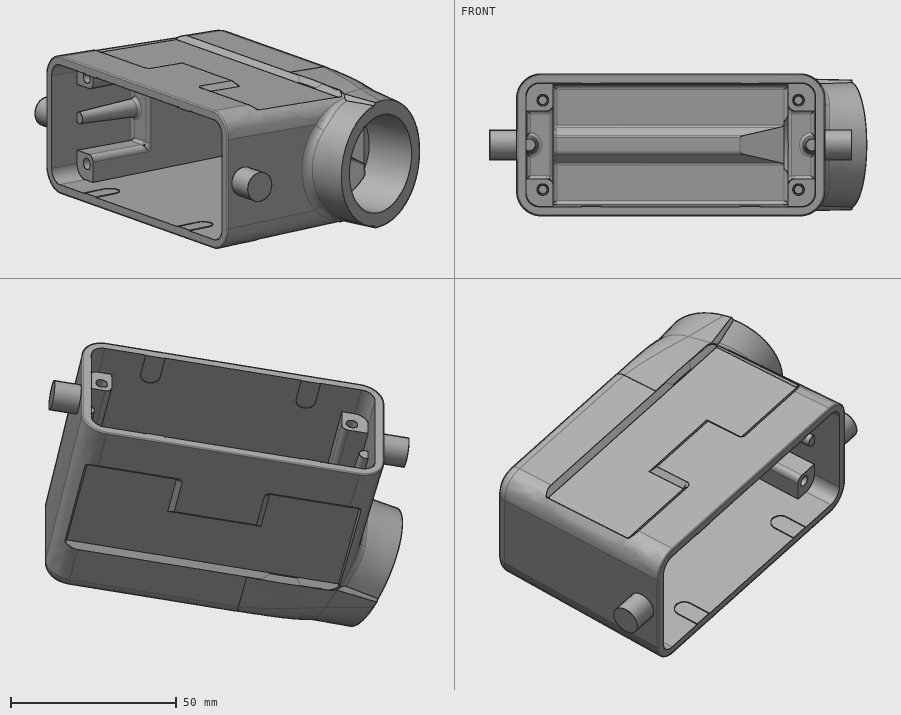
import cadquery as cq
import math

RIM_LENGTH = 93.2
RIM_WIDTH = 42.98
BODY_DEPTH = 62.9
SIDE_DRAFT = 1.1
CORNER_RADIUS = 7.5
END_FILLET = 3.8
RIM_FILLET = 0.4

PIN_DIAMETER = 9.0
PIN_SPAN = 109.4
PIN_Y = 6.15
PIN_ROOT_X = 44.5

RELIEF_LEVEL = 19.55
RELIEF_END_X = 42.0
RELIEF_BOTTOM_Y = 14.9
RELIEF_TOP_Y = 45.3
TAB_HALF_WIDTH = 14.4
TAB_TOP_Y = 27.9
RELIEF_WALL_ANGLE = 45.0
RELIEF_HEIGHT = 3.0

OUTLET_TILT = 15.8
OUTLET_RADIUS = 19.1
OUTLET_TIP_X = 59.3
OUTLET_TOP_Y = 70.09
ROOT_RADIUS = 18.2
NOZZLE_LENGTH = 22.0
BORE_RADIUS = 15.2
NECK_FILLET = 2.5
NECK_CORNER_X = 46.0
NECK_CORNER_Y = 30.0
NECK_CORNER_REACH = 6.0

SHOULDER_START_X = 7.0
SHOULDER_RISE_X = 14.0
SHOULDER_MIDDLE_X = 33.0
SHOULDER_MIDDLE_TOP_Y = 65.3
SHOULDER_MIDDLE_RADIUS = 9.5
SHOULDER_MIDDLE_HALF_WIDTH = 20.3
SHOULDER_EDGE_Y = 47.1
SHOULDER_CHAMFER = 1.6
SHOULDER_NECK_DISTANCE = 13.0
SHOULDER_NECK_HALF_WIDTH = 19.9
SHOULDER_NECK_EDGE = -1.1
SHOULDER_NECK_TOP = 18.6
SHOULDER_NECK_RADIUS = 12.1
SHOULDER_END_HALF_WIDTH = 19.6
SHOULDER_END_EDGE = -2.4

MOUTH_LENGTH = 87.6
MOUTH_WIDTH = 37.5
MOUTH_RADIUS = 4.2
INNER_DRAFT = 0.8
SHELF_Y = 30.0
CHAMBER_HALF_LENGTH = 35.5
CEILING_Y = 60.0
CEILING_FILLET = 1.2
SHELF_FILLET = 1.0

POST_TOP_Y = 9.4
POST_INNER_Z = 10.3
POST_RADIUS = 2.0
SCREW_X = 38.65
SCREW_Z = 13.5
SCREW_MOUTH_RADIUS = 1.75
SCREW_BOTTOM_RADIUS = 1.3
SCREW_DEPTH = 14.0

GUIDE_X = 42.7
GUIDE_TIP_RADIUS = 1.8
GUIDE_ROOT_RADIUS = 2.8

RIDGE_ROOT_WIDTH = 11.2
RIDGE_CREST_WIDTH = 5.2
RIDGE_HEIGHT = 3.0
RIDGE_FILLET = 1.0
RIDGE_RAMP_X = 21.0
RIDGE_END_X = 34.2

PAD_X = 24.0
PAD_WIDTH = 6.0
PAD_END_Y = 10.2
PAD_RISE = 0.2

TILT = math.radians(OUTLET_TILT)
OUTLET_X = OUTLET_TIP_X - OUTLET_RADIUS * math.sin(TILT)
OUTLET_Y = OUTLET_TOP_Y - OUTLET_RADIUS * math.cos(TILT)
SIDES = (-1, 1)
SELECT_MARGIN = 0.1


def depth_plane(y):
    """Plane across the hood at depth y; its normal points into the hood."""
    return cq.Plane(origin=(0, y, 0), xDir=(1, 0, 0), normal=(0, 1, 0))


def outlet_plane(distance):
    """Plane across the outlet axis, at a distance behind the outlet face."""
    origin = (OUTLET_X - distance * math.cos(TILT), OUTLET_Y - distance * math.sin(TILT), 0)
    return cq.Plane(origin=origin, xDir=(0, 0, -1), normal=(math.cos(TILT), math.sin(TILT), 0))


def rounded_rectangle(length, width, radius):
    return cq.Sketch().rect(length, width).vertices().fillet(radius)


def drafted_block(length, width, radius, start_y, end_y, draft):
    """Rounded block whose sides each lean in by the draft from start_y to end_y."""
    depth = end_y - start_y
    wide = rounded_rectangle(length, width, radius)
    narrow = rounded_rectangle(length - 2 * draft, width - 2 * draft, radius)
    far_end = narrow.moved(cq.Location((0, 0, depth)))
    return cq.Workplane(depth_plane(start_y)).placeSketch(wide, far_end).loft()


def body():
    block = drafted_block(RIM_LENGTH, RIM_WIDTH, CORNER_RADIUS, 0, BODY_DEPTH, SIDE_DRAFT)
    return block.faces(">Y").edges().fillet(END_FILLET).faces("<Y").edges().fillet(RIM_FILLET)


def side_relief():
    """Cutter for the +Z relief around the central tab; its floor follows the wall draft."""
    outline = [
        (-RELIEF_END_X, RELIEF_BOTTOM_Y),
        (-TAB_HALF_WIDTH, RELIEF_BOTTOM_Y),
        (-TAB_HALF_WIDTH, TAB_TOP_Y),
        (TAB_HALF_WIDTH, TAB_TOP_Y),
        (TAB_HALF_WIDTH, RELIEF_BOTTOM_Y),
        (RELIEF_END_X, RELIEF_BOTTOM_Y),
        (RELIEF_END_X, RELIEF_TOP_Y),
        (-RELIEF_END_X, RELIEF_TOP_Y),
    ]
    draft_angle = math.degrees(math.atan2(SIDE_DRAFT, BODY_DEPTH))
    floor = cq.Workplane("XY").workplane(offset=RELIEF_LEVEL).polyline(outline).close()
    cutter = floor.extrude(RELIEF_HEIGHT, taper=-RELIEF_WALL_ANGLE)
    hinge = (0, RELIEF_BOTTOM_Y, RELIEF_LEVEL)
    return cutter.rotate(hinge, (1, RELIEF_BOTTOM_Y, RELIEF_LEVEL), -draft_angle)


def shoulder_section(plane, edge_half_width, half_width, edge, top, radius):
    """Arched section: chamfered lower edges, near-upright sides and rounded upper corners."""
    foot = edge_half_width - SHOULDER_CHAMFER
    low = edge - SHOULDER_CHAMFER
    flat = half_width - radius
    bend = radius * math.sqrt(0.5)
    section = (
        cq.Workplane(plane)
        .moveTo(-foot, low)
        .lineTo(foot, low)
        .lineTo(edge_half_width, edge)
        .lineTo(half_width, top - radius)
        .threePointArc((flat + bend, top - radius + bend), (flat, top))
        .lineTo(-flat, top)
        .threePointArc((-flat - bend, top - radius + bend), (-half_width, top - radius))
        .lineTo(-edge_half_width, edge)
        .close()
    )
    return section.val()


def half_width_at(y):
    return RIM_WIDTH / 2 - SIDE_DRAFT * y / BODY_DEPTH


def shoulder_station(x, half_width, top, radius):
    """Shoulder section square to the X axis."""
    plane = cq.Plane(origin=(x, 0, 0), xDir=(0, 0, -1), normal=(1, 0, 0))
    edge_half_width = half_width_at(SHOULDER_EDGE_Y)
    return shoulder_section(plane, edge_half_width, half_width, SHOULDER_EDGE_Y, top, radius)


def shoulder_clearance():
    """Corner of the body that the shoulder replaces."""
    block = cq.Workplane("XY").box(RIM_LENGTH, BODY_DEPTH, RIM_WIDTH, centered=(False, False, True))
    return block.translate((SHOULDER_RISE_X, SHOULDER_EDGE_Y, 0))


def shoulder():
    """Swept rise from the body to the neck, then a straight run to the outlet face."""
    body_half_width = half_width_at(BODY_DEPTH)
    neck = shoulder_section(
        outlet_plane(SHOULDER_NECK_DISTANCE),
        SHOULDER_NECK_HALF_WIDTH,
        SHOULDER_NECK_HALF_WIDTH,
        SHOULDER_NECK_EDGE,
        SHOULDER_NECK_TOP,
        SHOULDER_NECK_RADIUS,
    )
    end = shoulder_section(
        outlet_plane(0),
        SHOULDER_END_HALF_WIDTH,
        SHOULDER_END_HALF_WIDTH,
        SHOULDER_END_EDGE,
        OUTLET_RADIUS,
        OUTLET_RADIUS,
    )
    rise = [
        shoulder_station(SHOULDER_START_X, body_half_width, BODY_DEPTH, END_FILLET),
        shoulder_station(SHOULDER_RISE_X, body_half_width, BODY_DEPTH, END_FILLET),
        shoulder_station(
            SHOULDER_MIDDLE_X, SHOULDER_MIDDLE_HALF_WIDTH, SHOULDER_MIDDLE_TOP_Y, SHOULDER_MIDDLE_RADIUS
        ),
        neck,
    ]
    run = cq.Solid.makeLoft([neck, end], True)
    return cq.Workplane(obj=cq.Solid.makeLoft(rise)).union(cq.Workplane(obj=run))


def nozzle():
    root = cq.Workplane(outlet_plane(NOZZLE_LENGTH)).circle(ROOT_RADIUS)
    return root.workplane(offset=NOZZLE_LENGTH).circle(OUTLET_RADIUS).loft()


def bore():
    """Outlet bore, ending at the wall of the chamber."""
    reach = 2 * OUTLET_RADIUS
    passage = cq.Workplane(outlet_plane(reach)).circle(BORE_RADIUS).extrude(2 * reach)
    chamber_end = cq.Workplane("YZ").workplane(offset=CHAMBER_HALF_LENGTH - CEILING_FILLET)
    outer_space = chamber_end.rect(3 * OUTLET_TOP_Y, 2 * RIM_WIDTH).extrude(2 * OUTLET_TIP_X)
    return passage.intersect(outer_space)


def post(side_x, side_z):
    """Square-cornered screw post with its free edge rounded, reaching into the shell wall."""
    length = RIM_LENGTH / 2 - CHAMBER_HALF_LENGTH
    width = RIM_WIDTH / 2 - POST_INNER_Z
    height = SHELF_Y - POST_TOP_Y
    block = cq.Workplane("XY").box(length, height, width, centered=False)
    block = block.edges("|Y and <X and <Z").fillet(POST_RADIUS)
    block = block.translate((CHAMBER_HALF_LENGTH, POST_TOP_Y, POST_INNER_Z))
    if side_x < 0:
        block = block.mirror("YZ")
    if side_z < 0:
        block = block.mirror("XY")
    return block


def tapered_rod(radius, end_radius, length):
    """Round rod along +Y, starting level with the post tops."""
    start = cq.Workplane(depth_plane(POST_TOP_Y)).circle(radius)
    return start.workplane(offset=length).circle(end_radius).loft()


def guide(side_x):
    rib = tapered_rod(GUIDE_TIP_RADIUS, GUIDE_ROOT_RADIUS, SHELF_Y - POST_TOP_Y)
    return rib.translate((side_x * GUIDE_X, 0, 0))


def ridge():
    """Ridge of trapezoid section, cut down to the ceiling by a ramp at the outlet end."""
    profile = [
        (-RIDGE_ROOT_WIDTH / 2, CEILING_Y),
        (-RIDGE_CREST_WIDTH / 2, CEILING_Y - RIDGE_HEIGHT),
        (RIDGE_CREST_WIDTH / 2, CEILING_Y - RIDGE_HEIGHT),
        (RIDGE_ROOT_WIDTH / 2, CEILING_Y),
    ]
    start = cq.Plane(origin=(-CHAMBER_HALF_LENGTH, 0, 0), xDir=(0, 0, -1), normal=(1, 0, 0))
    bar = cq.Workplane(start).polyline(profile).close().extrude(CHAMBER_HALF_LENGTH + RIDGE_END_X)
    bar = bar.edges("|X and <Y").fillet(RIDGE_FILLET)
    ramp = [
        (RIDGE_RAMP_X, CEILING_Y - RIDGE_HEIGHT),
        (RIDGE_END_X, CEILING_Y - RIDGE_HEIGHT),
        (RIDGE_END_X, CEILING_Y),
    ]
    return bar.cut(cq.Workplane("XY").polyline(ramp).close().extrude(RIDGE_ROOT_WIDTH / 2, both=True))


def pad(x):
    """Pad with a rounded inner end, on both broad walls once it is trimmed by the cavity."""
    radius = PAD_WIDTH / 2
    straight_end = PAD_END_Y - radius
    outline = (
        cq.Workplane("XY")
        .moveTo(x - radius, 0)
        .lineTo(x + radius, 0)
        .lineTo(x + radius, straight_end)
        .threePointArc((x, PAD_END_Y), (x - radius, straight_end))
        .close()
    )
    return outline.extrude(MOUTH_WIDTH / 2, both=True)


def cavity(inset):
    """Drafted inside of the hood up to the ceiling, its walls moved in by the inset."""
    length = MOUTH_LENGTH - 2 * inset
    width = MOUTH_WIDTH - 2 * inset
    return drafted_block(length, width, MOUTH_RADIUS - inset, 0, CEILING_Y, INNER_DRAFT)


def end_shelf(side_x):
    """Solid end of the hood behind the shelf, with both of its posts."""
    depth = BODY_DEPTH - SHELF_Y
    length = RIM_LENGTH / 2 - CHAMBER_HALF_LENGTH
    block = cq.Workplane("XY").box(length, depth, RIM_WIDTH, centered=(False, False, True))
    block = block.translate((CHAMBER_HALF_LENGTH, SHELF_Y, 0))
    if side_x < 0:
        block = block.mirror("YZ")
    for side_z in SIDES:
        block = block.union(post(side_x, side_z))
    return block


def level_edges(y, half_width):
    """Selector for the edges lying wholly at depth y, within half_width of the middle."""
    near = (-RIM_LENGTH, y - SELECT_MARGIN, -half_width)
    far = (RIM_LENGTH, y + SELECT_MARGIN, half_width)
    return cq.selectors.BoxSelector(near, far, boundingbox=True)


def interior():
    """Hollow of the hood, less the shelves, posts, guides, pads and ridge."""
    space = cavity(0)
    for side_x in SIDES:
        space = space.cut(end_shelf(side_x)).cut(guide(side_x))
    space = space.faces(">Y").edges().fillet(CEILING_FILLET)
    space = space.edges(level_edges(SHELF_Y, RIM_WIDTH)).fillet(SHELF_FILLET)
    for side_x in SIDES:
        space = space.cut(pad(side_x * PAD_X).cut(cavity(PAD_RISE)))
    space = space.cut(ridge())
    roots = space.edges(level_edges(CEILING_Y, RIDGE_ROOT_WIDTH)).edges("|X")
    return roots.fillet(RIDGE_FILLET)


def screw_hole(x, z):
    return tapered_rod(SCREW_MOUTH_RADIUS, SCREW_BOTTOM_RADIUS, SCREW_DEPTH).translate((x, 0, z))


def pin(side_x):
    """Locking pin, rooted in the end wall."""
    length = PIN_SPAN / 2 - PIN_ROOT_X
    plane = cq.Plane(origin=(side_x * PIN_ROOT_X, PIN_Y, 0), xDir=(0, 1, 0), normal=(side_x, 0, 0))
    return cq.Workplane(plane).circle(PIN_DIAMETER / 2).extrude(length)


def fillet_neck(shell):
    """Round the inside corner where the underside of the nozzle meets the end wall."""
    near = (NECK_CORNER_X - NECK_CORNER_REACH, NECK_CORNER_Y - NECK_CORNER_REACH, -BORE_RADIUS)
    far = (NECK_CORNER_X + NECK_CORNER_REACH, NECK_CORNER_Y + NECK_CORNER_REACH, BORE_RADIUS)
    return shell.edges(cq.selectors.BoxSelector(near, far)).fillet(NECK_FILLET)


hood = body()
hood = hood.cut(side_relief()).cut(side_relief().mirror("XY"))
hood = hood.cut(shoulder_clearance()).union(nozzle()).union(shoulder())
hood = fillet_neck(hood)
hood = hood.cut(interior()).cut(bore())
for end in SIDES:
    hood = hood.union(pin(end))
    for flank in SIDES:
        hood = hood.cut(screw_hole(end * SCREW_X, flank * SCREW_Z))

result = cq.Workplane(obj=hood.solids().val())